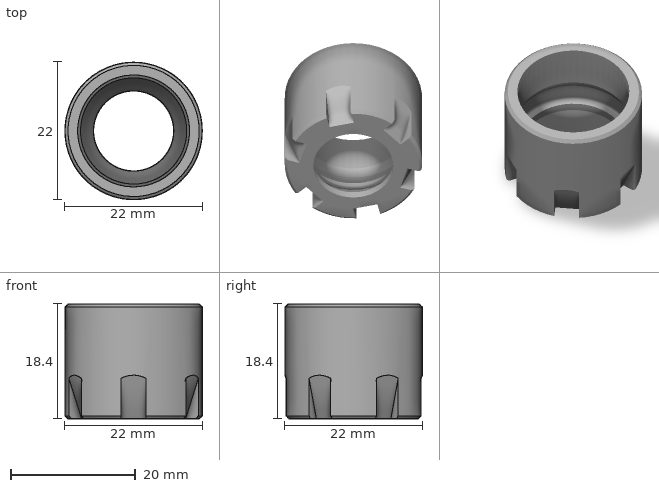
import cadquery as cq
import math

outer_diameter = 22.0
height = 18.4
rim_chamfer = 0.5

bore_diameter = 17.92
bore_end_z = 10.93
relief_diameter = 19.3
relief_flare_angle = math.radians(25)
relief_fillet = 0.4
seat_z = 6.45
seat_diameter = 17.0
taper_start_z = 5.0
taper_angle = math.radians(30)
nose_diameter = 12.8

slot_count = 6
slot_width = 4.0
slot_height = 7.0
slot_tilt = math.radians(20)
first_slot_angle = 30.0


def make_body():
    body = cq.Workplane("XY").circle(outer_diameter / 2).extrude(height)
    return body.faces("<Z or >Z").edges().chamfer(rim_chamfer)


def make_cavity():
    """Solid of revolution filling the bore, flared relief, seat, taper and nose hole."""
    bore_radius = bore_diameter / 2
    relief_radius = relief_diameter / 2
    seat_radius = seat_diameter / 2
    nose_radius = nose_diameter / 2

    flare_end_z = bore_end_z - (relief_radius - bore_radius) / math.tan(relief_flare_angle)
    taper_end_z = taper_start_z - (seat_radius - nose_radius) / math.tan(taper_angle)

    fillet_start = (relief_radius, seat_z + relief_fillet)
    fillet_end = (relief_radius - relief_fillet, seat_z)

    profile = (
        cq.Workplane("XZ")
        .moveTo(0, height)
        .lineTo(bore_radius, height)
        .lineTo(bore_radius, bore_end_z)
        .lineTo(relief_radius, flare_end_z)
        .lineTo(*fillet_start)
        .radiusArc(fillet_end, relief_fillet)
        .lineTo(seat_radius, seat_z)
        .lineTo(seat_radius, taper_start_z)
        .lineTo(nose_radius, taper_end_z)
        .lineTo(nose_radius, 0)
        .lineTo(0, 0)
        .close()
    )
    return profile.revolve(360, (0, 0, 0), (0, 1, 0))


def make_slot(angle):
    """Wedge whose flat floor leans inward toward the nose, turned to the given angle."""
    outer_radius = outer_diameter / 2
    floor_radius = outer_radius - slot_height * math.tan(slot_tilt)
    wedge = (
        cq.Workplane("XZ")
        .moveTo(floor_radius, 0)
        .lineTo(outer_radius, 0)
        .lineTo(outer_radius, slot_height)
        .close()
        .extrude(slot_width / 2, both=True)
    )
    return wedge.rotate((0, 0, 0), (0, 0, 1), angle)


result = make_body().cut(make_cavity())
for slot_index in range(slot_count):
    result = result.cut(make_slot(first_slot_angle + slot_index * 360 / slot_count))